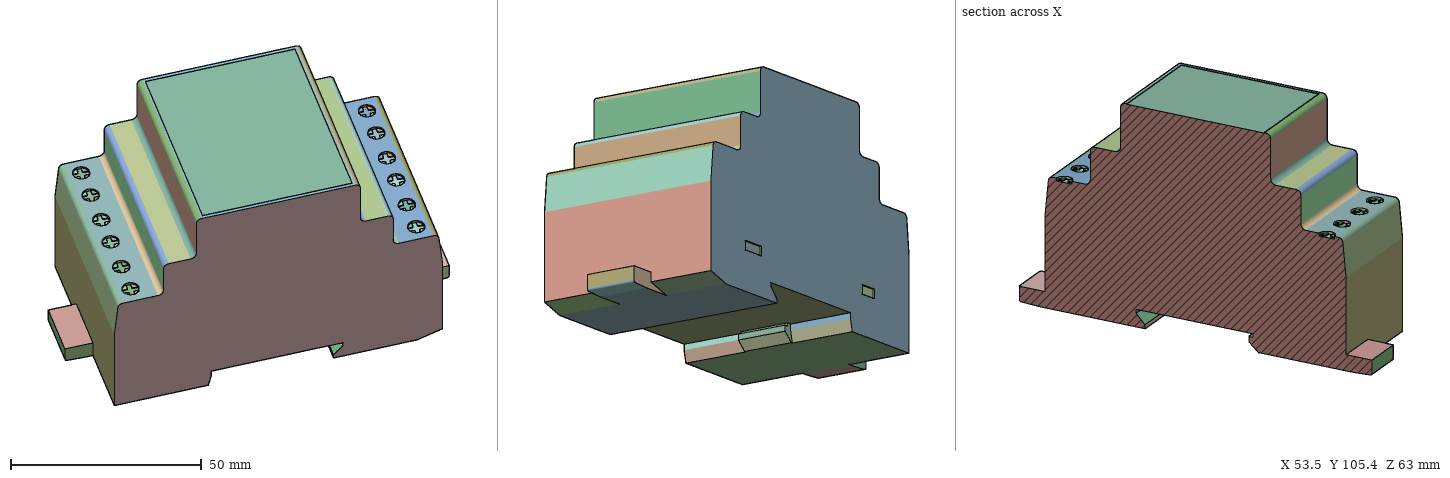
import cadquery as cq

width = 53.5
height = 62.99
base_half = 45.0
shoulder_half = 43.9
middle_half = 31.5
crown_half = 22.5
taper_start = 26.5
shoulder_height = 37.7
middle_height = 48.75
step_radius = 1.5
lead_in_length = 7.0
lead_in_height = 2.1

rail_depth = 5.0
hook_root = 17.7
hook_tip = 15.1
hook_tip_height = 1.2
hook_root_height = 4.0
relief_top = -18.4
relief_bottom = -19.2
relief_knee_height = 3.3

tab_width = 15.0
tab_top = 4.75
overall_length = 105.38
tab_reach = overall_length / 2
tab_slope_start = 46.7
tab_slope_rise = 0.3
tab_edge_radius = 0.7
latch_neck = -17.0
latch_nose = -15.9
latch_nose_top = 4.15
latch_nose_bottom = 2.5
latch_heel = -18.7
latch_overlap = 1.0

window_margin = 1.0
window_length = 41.0
window_depth = 0.1

screw_pair_pitch = 18.0
screw_spacing = 8.5
screw_row = 39.15
screw_radius = 2.25
screw_recess = 0.5
cross_width = 1.2
cross_depth = 0.3
cross_corner_radius = 0.4

notch_bottom = 11.3
notch_height = 2.6
notch_depth = 0.5
notch_spans = [(22.0, 29.2), (-29.2, -23.9)]


def extrude_profile(points, length):
    """Extrude a closed YZ outline symmetrically about X = 0."""
    return cq.Workplane("YZ").polyline(points).close().extrude(length / 2, both=True)


def make_housing():
    outline = [
        (-base_half, 0),
        (-base_half, taper_start),
        (-shoulder_half, shoulder_height),
        (-middle_half, shoulder_height),
        (-middle_half, middle_height),
        (-crown_half, middle_height),
        (-crown_half, height),
        (crown_half, height),
        (crown_half, middle_height),
        (middle_half, middle_height),
        (middle_half, shoulder_height),
        (shoulder_half, shoulder_height),
        (base_half, taper_start),
        (base_half, lead_in_height),
        (base_half - lead_in_length, 0),
    ]
    body = extrude_profile(outline, width)
    above_taper = cq.selectors.BoxSelector(
        (-width, -base_half, taper_start + step_radius),
        (width, base_half, height + step_radius),
    )
    return body.edges("|X").edges(above_taper).fillet(step_radius)


def make_rail_channel():
    outline = [
        (hook_tip, 0),
        (hook_tip, hook_tip_height),
        (hook_root, hook_root_height),
        (hook_root, rail_depth),
        (relief_top, rail_depth),
        (relief_top, relief_knee_height),
        (relief_bottom, 0),
    ]
    return extrude_profile(outline, width)


def make_tab(side):
    """Tab leaving the housing toward +Y (side = 1) or -Y (side = -1)."""
    root = base_half - lead_in_length
    outline = [
        (side * root, 0),
        (side * tab_slope_start, 0),
        (side * tab_reach, tab_slope_rise),
        (side * tab_reach, tab_top),
        (side * root, tab_top),
    ]
    tab = extrude_profile(outline, tab_width)
    outer_bottom = cq.selectors.NearestToPointSelector((0, side * tab_reach, tab_slope_rise))
    return tab.edges("|X").edges(outer_bottom).fillet(tab_edge_radius)


def make_latch():
    anchor = relief_bottom - latch_overlap
    outline = [
        (anchor, 0),
        (latch_heel, 0),
        (latch_nose, latch_nose_bottom),
        (latch_nose, latch_nose_top),
        (latch_neck, latch_nose_top),
        (latch_neck, rail_depth),
        (anchor, rail_depth),
    ]
    return extrude_profile(outline, tab_width)


def make_window():
    return (
        cq.Workplane("XY", origin=(0, 0, height - window_depth))
        .rect(width - 2 * window_margin, window_length)
        .extrude(window_depth)
    )


def make_screw_cut():
    """Round recess with a deeper cross slot, its opening at Z = 0."""
    full_depth = screw_recess + cross_depth
    recess = cq.Workplane("XY").circle(screw_radius).extrude(-screw_recess)
    shaft = cq.Workplane("XY").circle(screw_radius).extrude(-full_depth)
    arm = cq.Workplane("XY").rect(2 * screw_radius, cross_width).extrude(-full_depth)
    cross = arm.union(arm.rotate((0, 0, 0), (0, 0, 1), 90))
    inner_corners = cq.selectors.BoxSelector(
        (-cross_width, -cross_width, -full_depth),
        (cross_width, cross_width, 0),
    )
    cross = cross.edges("|Z").edges(inner_corners).fillet(cross_corner_radius)
    return recess.union(cross.intersect(shaft))


def cut_screws(body):
    screw = make_screw_cut()
    for row in (-screw_row, screw_row):
        for pair in (-1, 0, 1):
            for side in (-0.5, 0.5):
                x = pair * screw_pair_pitch + side * screw_spacing
                body = body.cut(screw.translate((x, row, shoulder_height)))
    return body


def cut_side_notches(body):
    for start, end in notch_spans:
        notch = cq.Workplane("XY").box(notch_depth, end - start, notch_height, centered=False)
        body = body.cut(notch.translate((-width / 2, start, notch_bottom)))
    return body


result = make_housing().cut(make_rail_channel())
for tab_side in (-1, 1):
    result = result.union(make_tab(tab_side))
result = result.union(make_latch()).cut(make_window())
result = cut_side_notches(cut_screws(result))